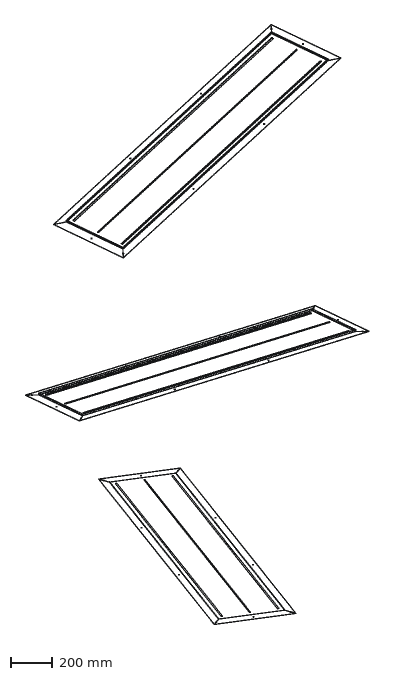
import cadquery as cq
length = 1797.0
width = 415.0
sheet = 1.5

height = 10.0
side_flange = 38.0
end_flange = 50.0
rim_thickness = 2.7
rim_width = width - 2 * side_flange
rim_length = length - 2 * end_flange

miter_gap = 0.4

hole_diameter = 5.0
hole_x = (width - side_flange) / 2
hole_y = (length - end_flange) / 2

ridge_length = 1642.0
ridge_height = 4.0
side_ridge_width = 8.0
side_ridge_outer_x = 147.0
middle_ridge_width = 6.3


def base_sheet():
    return cq.Workplane("XY").box(width, length, sheet, centered=(True, True, False))


def rim():
    return (
        cq.Workplane("XY")
        .rect(rim_width, rim_length)
        .rect(rim_width - 2 * rim_thickness, rim_length - 2 * rim_thickness)
        .extrude(height)
    )


def ridge(left_x, right_x, peak_x):
    """Triangular ridge along Y that stands on the sheet."""
    return (
        cq.Workplane("XZ")
        .polyline([(left_x, sheet), (right_x, sheet), (peak_x, sheet + ridge_height)])
        .close()
        .extrude(ridge_length / 2, both=True)
    )


def miter_slit(side_x, side_y):
    """Slit through the flange from an outer corner to the rim corner; the sides are -1 or 1."""
    outer_x = side_x * width / 2
    outer_y = side_y * length / 2
    inner_x = side_x * rim_width / 2
    inner_y = side_y * rim_length / 2
    shift = side_y * miter_gap
    return (
        cq.Workplane("XY")
        .polyline([
            (outer_x, outer_y),
            (inner_x, inner_y),
            (inner_x, inner_y - shift),
            (outer_x, outer_y - shift),
        ])
        .close()
        .extrude(sheet)
    )


def screw_holes():
    """Four evenly spaced holes on each long side and one at the middle of each end."""
    side_holes = [(x, y) for x in (-hole_x, hole_x) for y in (-hole_y, -hole_y / 3, hole_y / 3, hole_y)]
    end_holes = [(0, -hole_y), (0, hole_y)]
    return cq.Workplane("XY").pushPoints(side_holes + end_holes).circle(hole_diameter / 2).extrude(sheet)


result = base_sheet().union(rim())

side_ridge_inner_x = side_ridge_outer_x - side_ridge_width
result = result.union(ridge(-side_ridge_outer_x, -side_ridge_inner_x, -side_ridge_outer_x))
result = result.union(ridge(side_ridge_inner_x, side_ridge_outer_x, side_ridge_outer_x))
result = result.union(ridge(-middle_ridge_width / 2, middle_ridge_width / 2, 0))

for side_x in (-1, 1):
    for side_y in (-1, 1):
        result = result.cut(miter_slit(side_x, side_y))

result = result.cut(screw_holes())